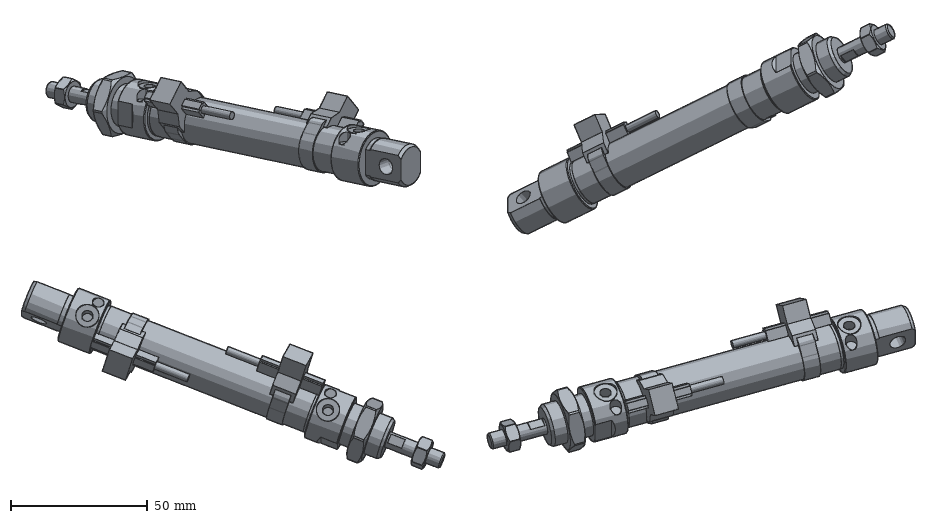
import cadquery as cq
import math

total_length = 164.0

rod_diameter = 6.0
rod_tip_chamfer = 0.5
wrench_flat_start = 15.4
wrench_flat_length = 5.5
wrench_flat_distance = 5.0

nose_start = 21.6
nose_diameter = 16.0
nose_chamfer_radial = 0.8
nose_chamfer_axial = 1.1

cap_diameter = 21.0
cap_length = 12.8
cap_chamfer = 0.3
front_cap_start = 37.7
rear_cap_end = 148.0
front_cap_end = front_cap_start + cap_length
rear_cap_start = rear_cap_end - cap_length
tube_middle = (front_cap_end + rear_cap_start) / 2
tube_diameter = 17.4
collar_diameter = 17.2
collar_length = 1.0

cap_flat_distance = 18.9
cap_flat_length = 6.5

port_inset = 5.2
port_diameter = 4.1
port_seat_diameter = 8.5
port_seat_height = 9.3
port_floor_height = 5.0
screw_inset = 3.6
screw_side_offset = 6.5
screw_diameter = 4.3
screw_floor_height = 5.7

clevis_neck_diameter = 15.5
clevis_neck_length = 2.0
clevis_diameter = 16.0
clevis_chamfer_radial = 0.8
clevis_chamfer_axial = 1.3
clevis_width = 12.1
clevis_hole_diameter = 6.0
clevis_hole_to_end = 6.9

nut_chamfer_angle = math.radians(30)
rod_nut_start = 5.5
rod_nut_thickness = 5.0
rod_nut_across_flats = 10.3
rod_nut_corner_diameter = 11.8
rod_nut_face_diameter = 9.8
mounting_nut_start = 27.7
mounting_nut_thickness = 5.9
mounting_nut_across_flats = 21.8
mounting_nut_corner_diameter = 24.8
mounting_nut_face_diameter = 21.3

sensor_tilt = 45.0
bracket_center = 62.8
bracket_length = 9.2
head_half_width = 5.0
head_top = 20.0
head_bottom = 13.0
foot_half_width = 7.9
foot_top = 8.7
foot_bottom = 4.6
band_width = 6.2
band_radius = 9.2
band_bend_radius = 4.1
band_bend_start = 4.5
rail_length = 24.8
rail_width = 4.6
rail_shoulder = 12.5
rail_lip_width = 2.8
rail_top = 13.3
cable_diameter = 3.0
cable_length = 13.0
cable_height = 10.7


def cross_section(x):
    """Workplane across the cylinder at x: its local axes are Y and Z, and it extrudes along +X."""
    return cq.Workplane("YZ", origin=(x, 0, 0))


def rod_along_x(start, end, diameter):
    return cross_section(start).circle(diameter / 2).extrude(end - start)


def flattened(bar, start, end, flat_distance, turn):
    """Cuts a pair of parallel flats into a bar; turned by 0 they face +Y and -Y, by 90 +Z and -Z."""
    cutter_size = 2 * clevis_diameter
    length = end - start
    cutter = cross_section(start).rect(cutter_size, cutter_size).extrude(length)
    kept = cross_section(start).rect(flat_distance, cutter_size).extrude(length)
    return bar.cut(cutter.cut(kept).rotate((0, 0, 0), (1, 0, 0), turn))


def make_rod():
    rod = rod_along_x(0, nose_start, rod_diameter).faces("<X").chamfer(rod_tip_chamfer)
    wrench_flat_end = wrench_flat_start + wrench_flat_length
    return flattened(rod, wrench_flat_start, wrench_flat_end, wrench_flat_distance, 90)


def hex_nut(start, thickness, across_flats, corner_diameter, face_diameter, bore_diameter, turn):
    """Hexagon nut with turned corners and 30 degree chamfers on both faces."""
    corner_to_corner = across_flats / math.cos(math.pi / 6)
    hexagon = cross_section(start).polygon(6, corner_to_corner).extrude(thickness)
    hexagon = hexagon.rotate((0, 0, 0), (1, 0, 0), turn)
    corner_radius = corner_diameter / 2
    face_radius = face_diameter / 2
    chamfer_depth = (corner_radius - face_radius) * math.tan(nut_chamfer_angle)
    end = start + thickness
    turned_blank = (
        cq.Workplane("XY")
        .moveTo(start, 0)
        .lineTo(start, face_radius)
        .lineTo(start + chamfer_depth, corner_radius)
        .lineTo(end - chamfer_depth, corner_radius)
        .lineTo(end, face_radius)
        .lineTo(end, 0)
        .close()
        .revolve(360, (0, 0, 0), (1, 0, 0))
    )
    return hexagon.intersect(turned_blank).cut(rod_along_x(start, end, bore_diameter))


def side_flat_cutter(side):
    """Cutter for one flat on the side of the front cap; its rear end slopes outwards at 45 degrees."""
    inner = cap_flat_distance / 2
    outer = cap_diameter
    flat_end = front_cap_start + cap_flat_length
    return (
        cq.Workplane("XY", origin=(0, 0, -cap_diameter / 2))
        .moveTo(front_cap_start, side * inner)
        .lineTo(flat_end, side * inner)
        .lineTo(flat_end + outer - inner, side * outer)
        .lineTo(front_cap_start, side * outer)
        .close()
        .extrude(cap_diameter)
    )


def hole_from_top(x, y, floor_height, diameter):
    return cq.Workplane("XY", origin=(x, y, floor_height)).circle(diameter / 2).extrude(cap_diameter)


def cap_ports(port_x, screw_x):
    """Cutter for an air port with its flat seat, and for the cushion screw hole beside it."""
    seat = hole_from_top(port_x, 0, port_seat_height, port_seat_diameter)
    port = hole_from_top(port_x, 0, port_floor_height, port_diameter)
    screw = hole_from_top(screw_x, -screw_side_offset, screw_floor_height, screw_diameter)
    return seat.union(port).union(screw)


def make_clevis():
    """Rear clevis: a flattened round tongue with a cross hole, on a slightly thinner neck."""
    neck_end = rear_cap_end + clevis_neck_length
    radius = clevis_diameter / 2
    clevis = (
        cq.Workplane("XY")
        .moveTo(rear_cap_end, 0)
        .lineTo(rear_cap_end, clevis_neck_diameter / 2)
        .lineTo(neck_end, clevis_neck_diameter / 2)
        .lineTo(neck_end, radius)
        .lineTo(total_length - clevis_chamfer_axial, radius)
        .lineTo(total_length, radius - clevis_chamfer_radial)
        .lineTo(total_length, 0)
        .close()
        .revolve(360, (0, 0, 0), (1, 0, 0))
    )
    cross_hole = (
        cq.Workplane("XZ", origin=(total_length - clevis_hole_to_end, 0, 0))
        .circle(clevis_hole_diameter / 2)
        .extrude(clevis_diameter, both=True)
    )
    return flattened(clevis, rear_cap_end, total_length, clevis_width, 0).cut(cross_hole)


def cap_blank(start):
    """One end cap before its ports and flats are cut."""
    return rod_along_x(start, start + cap_length, cap_diameter).edges().chamfer(cap_chamfer)


def make_nose():
    radius = nose_diameter / 2
    return (
        cq.Workplane("XY")
        .moveTo(nose_start, 0)
        .lineTo(nose_start, radius - nose_chamfer_radial)
        .lineTo(nose_start + nose_chamfer_axial, radius)
        .lineTo(front_cap_start, radius)
        .lineTo(front_cap_start, 0)
        .close()
        .revolve(360, (0, 0, 0), (1, 0, 0))
    )


def make_tube():
    """Tube between the caps, with a slightly thinner collar next to each cap."""
    collars = rod_along_x(front_cap_end, rear_cap_start, collar_diameter)
    tube = rod_along_x(front_cap_end + collar_length, rear_cap_start - collar_length, tube_diameter)
    return collars.union(tube)


def make_front_cap():
    cap = cap_blank(front_cap_start)
    for side in (1, -1):
        cap = cap.cut(side_flat_cutter(side))
    return cap.cut(cap_ports(front_cap_end - port_inset, front_cap_end - screw_inset))


def make_rear_cap():
    ports = cap_ports(rear_cap_start + port_inset, rear_cap_start + screw_inset)
    return cap_blank(rear_cap_start).cut(ports)


def make_cylinder():
    """Nose, caps, tube and clevis joined into the cylinder body."""
    cylinder = make_nose()
    for section in (make_front_cap(), make_tube(), make_rear_cap(), make_clevis()):
        cylinder = cylinder.union(section)
    return cylinder


def sensor_bracket():
    """Square head on a tapering foot that sits on the tube."""
    right_side = [
        (foot_half_width, foot_bottom),
        (foot_half_width, foot_top),
        (head_half_width, head_bottom),
        (head_half_width, head_top),
    ]
    left_side = [(-y, z) for y, z in reversed(right_side)]
    return (
        cross_section(bracket_center - bracket_length / 2)
        .polyline(right_side + left_side)
        .close()
        .extrude(bracket_length)
    )


def sensor_band():
    """Band round the tube: its ends run straight up and then bend inwards onto the bracket's foot."""
    bend_offset = band_radius - foot_half_width
    bend_angle = math.acos(1 - bend_offset / band_bend_radius)
    bend_center = band_radius - band_bend_radius
    bend_middle_y = bend_center + band_bend_radius * math.cos(bend_angle / 2)
    bend_middle_z = band_bend_start + band_bend_radius * math.sin(bend_angle / 2)
    bend_end_z = band_bend_start + band_bend_radius * math.sin(bend_angle)
    return (
        cross_section(bracket_center - band_width / 2)
        .moveTo(-band_radius, 0)
        .threePointArc((0, -band_radius), (band_radius, 0))
        .lineTo(band_radius, band_bend_start)
        .threePointArc((bend_middle_y, bend_middle_z), (foot_half_width, bend_end_z))
        .lineTo(-foot_half_width, bend_end_z)
        .threePointArc((-bend_middle_y, bend_middle_z), (-band_radius, band_bend_start))
        .close()
        .extrude(band_width)
    )


def sensor_rail():
    """Rail from the front cap along the tube, with a narrower lip on top."""
    base = cross_section(front_cap_end).rect(rail_width, 2 * rail_shoulder).extrude(rail_length)
    lip = cross_section(front_cap_end).rect(rail_lip_width, 2 * rail_top).extrude(rail_length)
    below_axis = (
        cross_section(front_cap_end)
        .center(0, -rail_top / 2)
        .rect(rail_width, rail_top)
        .extrude(rail_length)
    )
    return base.union(lip).cut(below_axis)


def make_sensor():
    """Front sensor, seated on the tube and tilted towards -Y."""
    rail_end = front_cap_end + rail_length
    cable = rod_along_x(rail_end, rail_end + cable_length, cable_diameter)
    cable = cable.translate((0, 0, cable_height))
    sensor = sensor_bracket().union(sensor_band()).union(sensor_rail()).union(cable)
    sensor = sensor.cut(rod_along_x(0, total_length, tube_diameter))
    return sensor.rotate((0, 0, 0), (1, 0, 0), sensor_tilt)


rod = make_rod()
rod_nut = hex_nut(
    rod_nut_start,
    rod_nut_thickness,
    rod_nut_across_flats,
    rod_nut_corner_diameter,
    rod_nut_face_diameter,
    rod_diameter,
    90,
)
mounting_nut = hex_nut(
    mounting_nut_start,
    mounting_nut_thickness,
    mounting_nut_across_flats,
    mounting_nut_corner_diameter,
    mounting_nut_face_diameter,
    nose_diameter,
    0,
)
cylinder = make_cylinder()

sensors = []
for turn in (0, 180):
    sensor = make_sensor().rotate((tube_middle, 0, 0), (tube_middle, 0, 1), turn)
    sensors.append(sensor.val())

result = cq.Compound.makeCompound([rod.val(), rod_nut.val(), mounting_nut.val(), cylinder.val(), *sensors])